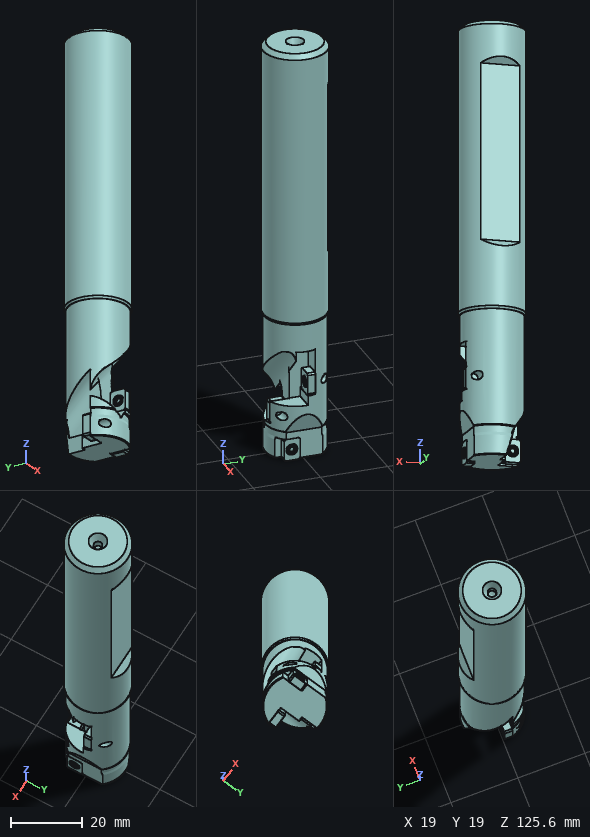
import cadquery as cq
import math

total_length = 125.6
shank_radius = 9.5
shank_bottom = 43.1
neck_radius = 9.0
neck_top = 42.3
shoulder_radius = 9.2
body_bottom = 0.4
top_chamfer = 1.4
bottom_chamfer = 0.3

flat_depth = 1.9
flat_top = 115.0
flat_bottom = 60.5

centre_cone_radius = 2.6
centre_pilot_radius = 1.3
centre_cone_half_angle = 30
centre_pilot_depth = 2.5
pilot_tip_half_angle = 59

relief_bottom = 6.0
relief_top = 9.2
relief_depth = 0.3
relief_taper_height = 0.9

insert_height = 6.7
insert_thickness = 2.4
insert_inner = 3.8
insert_outer = 8.7
insert_edge_chamfer = 0.5
seat_y = 2.9
face_y = seat_y - insert_thickness
screw_radial = 6.3
screw_head_radius = 1.6
screw_ring_width = 0.4
screw_recess_depth = 0.5
socket_sides = 6
socket_width = 1.8
screw_hole_radius = 1.3

insert_pitch = 9.5
first_insert_z = 4.3
quarter_turn = 90
first_angle = 180
second_angle = first_angle + quarter_turn
third_angle = second_angle + quarter_turn
second_insert_z = first_insert_z + insert_pitch
third_insert_z = second_insert_z + insert_pitch
insert_places = [
    (first_angle, first_insert_z),
    (second_angle, second_insert_z),
    (third_angle, third_insert_z),
]

end_insert_face_x = 7.0
end_insert_shift = 2.8
end_insert_angle = -90
side_relief_slope_z = 8.8
side_relief_top = 14.5

flute_line_middle = 27.5
flute_slope = 0.97
core_distance = 2.8
flute_fillet = 4.4
flute_top_y = 6.5
lower_gash_end = -7.8
land_top = 17.2
second_ramp_z = 7.3
second_ramp_y = -1.5
second_ramp_end_z = 14.8

end_wall_start_y = 3.5
end_wall_foot_x = -1.3
end_wall_top_x = -4.4
end_wall_top = 9.4

reach = 11.3


def placed(shape, angle, height):
    """Move a shape from the local insert frame to its angle and height."""
    return shape.rotate((0, 0, 0), (0, 0, 1), angle).translate((0, 0, height))


def make_blank():
    top_radius = shank_radius - top_chamfer
    relief_radius = neck_radius - relief_depth
    profile = [
        (0, body_bottom),
        (neck_radius - bottom_chamfer, body_bottom),
        (neck_radius, body_bottom + bottom_chamfer),
        (neck_radius, relief_bottom),
        (relief_radius, relief_bottom + relief_taper_height),
        (relief_radius, relief_top - relief_depth),
        (neck_radius, relief_top),
        (neck_radius, neck_top),
        (shoulder_radius, neck_top),
        (shank_radius, shank_bottom),
        (shank_radius, total_length - top_chamfer),
        (top_radius, total_length),
        (0, total_length),
    ]
    return cq.Workplane("XZ").polyline(profile).close().revolve(360, (0, 0), (0, 1))


def make_flat_cut():
    floor_y = shank_radius - flat_depth
    outside_y = shank_radius + flat_depth
    end_run = outside_y - floor_y
    floor_top = flat_top - flat_depth
    floor_bottom = flat_bottom + flat_depth
    profile = [
        (floor_y, floor_bottom),
        (outside_y, floor_bottom - end_run),
        (outside_y, floor_top + end_run),
        (floor_y, floor_top),
    ]
    return cq.Workplane("YZ").polyline(profile).close().extrude(shank_radius, both=True)


def make_centre_hole():
    cone_slope = math.tan(math.radians(centre_cone_half_angle))
    cone_bottom = total_length - (centre_cone_radius - centre_pilot_radius) / cone_slope
    pilot_bottom = cone_bottom - centre_pilot_depth
    tip = pilot_bottom - centre_pilot_radius / math.tan(math.radians(pilot_tip_half_angle))
    profile = [
        (0, tip),
        (centre_pilot_radius, pilot_bottom),
        (centre_pilot_radius, cone_bottom),
        (centre_cone_radius, total_length),
        (0, total_length),
    ]
    return cq.Workplane("XZ").polyline(profile).close().revolve(360, (0, 0), (0, 1))


def flute_line(y):
    """Height of the sloping upper edge of the flute at a local Y in the middle gash."""
    return flute_line_middle + flute_slope * y


def make_gash(outline, angle, floor_fillet=0):
    """Flute segment with its outline in the local YZ plane, cut down to the flat core.

    The first side of the outline is the sloping upper edge, rounded into the floor.
    """
    gash = cq.Workplane("YZ", origin=(core_distance, 0, 0)).polyline(outline).close().extrude(reach)
    if floor_fillet:
        (start_y, start_z), (end_y, end_z) = outline[:2]
        middle = (core_distance, (start_y + end_y) / 2, (start_z + end_z) / 2)
        gash = gash.edges(cq.NearestToPointSelector(middle)).fillet(floor_fillet)
    return placed(gash, angle, 0)


def make_flute():
    ledge = insert_height / 2
    second_bottom = second_insert_z - ledge
    third_bottom = third_insert_z - ledge
    lower = [
        (seat_y, flute_line(seat_y) - insert_pitch),
        (lower_gash_end, flute_line(lower_gash_end) - insert_pitch),
        (lower_gash_end, -reach),
        (seat_y, -reach),
    ]
    middle = [
        (flute_top_y, flute_line(flute_top_y)),
        (-reach, flute_line(-reach)),
        (-reach, second_ramp_end_z),
        (second_ramp_y, second_ramp_z),
        (face_y, second_bottom),
        (seat_y, second_bottom),
        (seat_y, land_top),
        (reach, land_top),
        (reach, flute_line(flute_top_y)),
    ]
    upper = [
        (seat_y, third_bottom),
        (seat_y, flute_line(flute_top_y)),
        (-seat_y, flute_line(flute_top_y)),
        (-seat_y, land_top),
        (face_y, land_top),
        (face_y, third_bottom),
    ]
    flute = make_gash(lower, first_angle, flute_fillet)
    flute = flute.union(make_gash(middle, second_angle, flute_fillet))
    return flute.union(make_gash(upper, third_angle))


def make_end_wall_cut():
    """Cut away the body in front of the leaning wall at the lower end of the flute."""
    profile = [
        (end_wall_foot_x, 0),
        (end_wall_top_x, end_wall_top),
        (-reach, end_wall_top),
        (-reach, 0),
    ]
    start = cq.Workplane("XZ", origin=(0, end_wall_start_y, 0))
    return start.polyline(profile).close().extrude(-reach)


def make_side_relief():
    """Open the +X side in front of the end insert."""
    profile = [
        (end_insert_face_x, -reach),
        (end_insert_face_x, side_relief_slope_z),
        (neck_radius, side_relief_top),
        (reach, side_relief_top),
        (reach, -reach),
    ]
    return cq.Workplane("XZ").polyline(profile).close().extrude(reach, both=True)


def make_insert_block(outer=insert_outer):
    corner = cq.Workplane("XY", origin=(insert_inner, face_y, 0))
    width = outer - insert_inner
    block = corner.box(width, insert_thickness, insert_height, centered=(False, False, True))
    return block.edges("|Y").chamfer(insert_edge_chamfer)


def make_insert():
    """Insert with its clamping screw head marked by a ring groove and a hexagonal socket."""
    face = cq.Workplane("XZ", origin=(screw_radial, face_y, 0))
    ring_inner_radius = screw_head_radius - screw_ring_width
    ring = face.circle(screw_head_radius).circle(ring_inner_radius).extrude(-screw_recess_depth)
    socket = face.polygon(socket_sides, socket_width).extrude(-screw_recess_depth)
    return make_insert_block().cut(ring).cut(socket)


def make_screw_hole():
    """Hole from the insert seat out through the land behind it."""
    seat = cq.Workplane("XZ", origin=(screw_radial, seat_y, 0))
    return seat.circle(screw_hole_radius).extrude(-reach)


def place_end_insert(shape):
    turned = shape.mirror("XZ").translate((-end_insert_shift, end_insert_face_x + face_y, 0))
    return placed(turned, end_insert_angle, insert_height / 2)


def make_body():
    body = make_blank().cut(make_flat_cut()).cut(make_centre_hole())
    body = body.cut(make_flute()).cut(make_end_wall_cut()).cut(make_side_relief())
    for angle, height in insert_places:
        body = body.cut(placed(make_screw_hole(), angle, height))
        body = body.cut(placed(make_insert_block(), angle, height))
    return body.cut(place_end_insert(make_insert_block(outer=insert_outer + reach)))


cutter_body = make_body()
inserts = [placed(make_insert(), angle, height) for angle, height in insert_places]
end_insert = place_end_insert(make_insert())

result = cq.Compound.makeCompound([
    cutter_body.val(),
    *[insert.val() for insert in inserts],
    end_insert.val(),
])